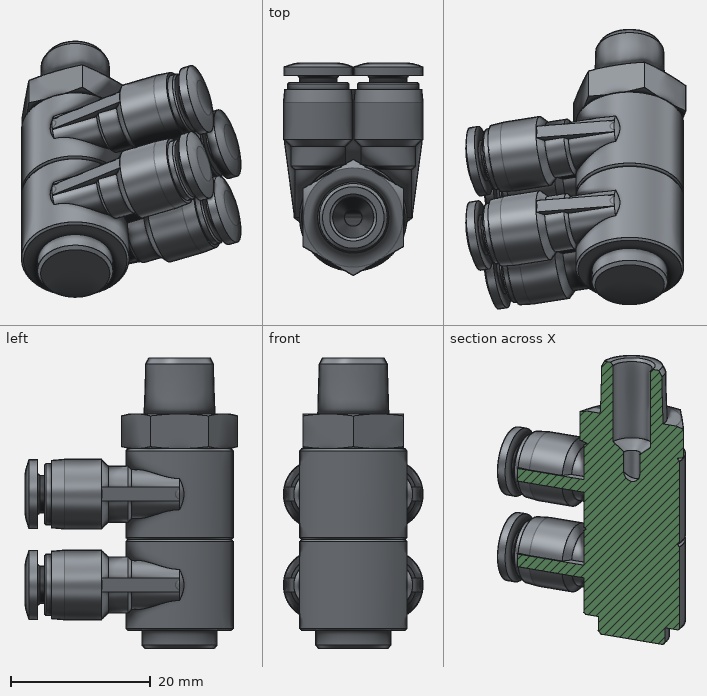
import cadquery as cq
import math

stub_height = 2.6
stub_diameter = 10.78
stub_end_diameter = 9.9
stub_chamfer_height = 0.5

body_diameter = 15.4
segment_height = 13.0
segment_count = 2
segment_chamfer = 0.3

hex_sides = 6
hex_height = 5.0
hex_across_flats = 14.4
hex_face_diameter = 14.2
hex_chamfer_angle = 14.0

stud_height = 8.0
stud_top_diameter = 8.8
stud_diameter = 9.75
stud_chamfer_height = 0.9
stud_taper = 1 / 16

bore_diameter = 5.88
bore_mouth_diameter = 6.72
bore_depth = 12.0
pilot_diameter = 2.5
pilot_depth = 3.0

cone_angle = 105.0

port_offset = 5.0
port_diameter = 10.0
port_length = 22.136
shank_diameter = 7.0
shank_length = 6.85
step_diameter = 8.05
step_start = 7.35
step_end = 10.2
barrel_start = 11.2
barrel_end = 16.45
nose_end = 18.35
nose_diameter = 9.65
nose_bulge_diameter = 9.88
collar_diameter = 8.8
collar_end = 19.36
collar_chamfer = 0.25
neck_diameter = 5.37
neck_end = 19.97
neck_flare_diameter = 5.88
button_start = 20.32
button_diameter = 9.9
button_edge = 21.55
button_face_diameter = 5.2
button_dome_fullness = 0.7

rib_thickness = 2.0
rib_foot_offset = 3.42

segments_base = stub_height
hex_base = segments_base + segment_count * segment_height
stud_base = hex_base + hex_height
total_height = stud_base + stud_height


def cone_tip_height(diameter):
    return diameter / 2 / math.tan(math.radians(cone_angle / 2))


def turned(outline):
    """Revolve a (radius, height) outline about its height axis."""
    return outline.close().revolve(360, (0, 0, 0), (0, 1, 0))


def make_stub():
    outline = (
        cq.Workplane("XZ")
        .lineTo(stub_end_diameter / 2, 0)
        .lineTo(stub_diameter / 2, stub_chamfer_height)
        .lineTo(stub_diameter / 2, stub_height)
        .lineTo(0, stub_height)
    )
    return turned(outline)


def make_segment(base):
    """Body segment with both rims chamfered; neighbours form a V groove."""
    segment = cq.Workplane("XY").workplane(offset=base).circle(body_diameter / 2).extrude(segment_height)
    return segment.edges("%CIRCLE").chamfer(segment_chamfer)


def make_hexagon():
    """Hexagon with corners on the Y axis, corners bevelled at both ends."""
    corner_radius = hex_across_flats / math.sqrt(3)
    corner_angle = 2 * math.pi / hex_sides
    corners = [
        (corner_radius * math.sin(i * corner_angle), corner_radius * math.cos(i * corner_angle))
        for i in range(hex_sides)
    ]
    prism = cq.Workplane("XY").workplane(offset=hex_base).polyline(corners).close().extrude(hex_height)
    face_radius = hex_face_diameter / 2
    bevel_height = (corner_radius - face_radius) * math.tan(math.radians(hex_chamfer_angle))
    outline = (
        cq.Workplane("XZ")
        .moveTo(0, hex_base)
        .lineTo(face_radius, hex_base)
        .lineTo(corner_radius, hex_base + bevel_height)
        .lineTo(corner_radius, stud_base - bevel_height)
        .lineTo(face_radius, stud_base)
        .lineTo(0, stud_base)
    )
    return prism.intersect(turned(outline))


def make_stud():
    taper_height = stud_height - stud_chamfer_height
    base_diameter = stud_diameter + taper_height * stud_taper
    outline = (
        cq.Workplane("XZ")
        .moveTo(0, stud_base)
        .lineTo(base_diameter / 2, stud_base)
        .lineTo(stud_diameter / 2, total_height - stud_chamfer_height)
        .lineTo(stud_top_diameter / 2, total_height)
        .lineTo(0, total_height)
    )
    return turned(outline)


def make_bore():
    """Countersunk bore narrowing to a pilot hole, whose floor is a trough rounded about X."""
    mouth_depth = (bore_mouth_diameter - bore_diameter) / 2
    cone_base = total_height - bore_depth
    cone_height = cone_tip_height(bore_diameter) - cone_tip_height(pilot_diameter)
    pilot_top = cone_base - cone_height
    pilot_base = pilot_top - pilot_depth
    outline = (
        cq.Workplane("XZ")
        .moveTo(0, pilot_base)
        .lineTo(pilot_diameter / 2, pilot_base)
        .lineTo(pilot_diameter / 2, pilot_top)
        .lineTo(bore_diameter / 2, cone_base)
        .lineTo(bore_diameter / 2, total_height - mouth_depth)
        .lineTo(bore_mouth_diameter / 2, total_height)
        .lineTo(0, total_height)
    )
    pilot = cq.Workplane("XY").workplane(offset=pilot_base - pilot_diameter / 2)
    pilot = pilot.circle(pilot_diameter / 2).extrude(pilot_diameter)
    trough = cq.Workplane("YZ").workplane(offset=-pilot_diameter / 2).center(0, pilot_base)
    trough = trough.circle(pilot_diameter / 2).extrude(pilot_diameter)
    return turned(outline).union(pilot.intersect(trough))


def make_port(x, z):
    """Push-in port turned about a line along Y: shank, barrel, collar and release button."""
    nose_middle = (barrel_end + nose_end) / 2
    dome_middle_diameter = (button_diameter + button_face_diameter) / 2
    dome_middle = button_edge + button_dome_fullness * (port_length - button_edge)
    outline = (
        cq.Workplane("XY")
        .moveTo(0, -cone_tip_height(shank_diameter))
        .lineTo(shank_diameter / 2, 0)
        .lineTo(shank_diameter / 2, shank_length)
        .lineTo(step_diameter / 2, step_start)
        .lineTo(step_diameter / 2, step_end)
        .lineTo(port_diameter / 2, barrel_start)
        .lineTo(port_diameter / 2, barrel_end)
        .threePointArc((nose_bulge_diameter / 2, nose_middle), (nose_diameter / 2, nose_end))
        .lineTo(collar_diameter / 2, nose_end)
        .lineTo(collar_diameter / 2, collar_end - collar_chamfer)
        .lineTo(collar_diameter / 2 - collar_chamfer, collar_end)
        .lineTo(neck_diameter / 2, collar_end)
        .lineTo(neck_diameter / 2, neck_end)
        .lineTo(neck_flare_diameter / 2, button_start)
        .lineTo(button_diameter / 2, button_start)
        .lineTo(button_diameter / 2, button_edge)
        .threePointArc((dome_middle_diameter / 2, dome_middle), (button_face_diameter / 2, port_length))
        .lineTo(0, port_length)
    )
    return turned(outline).translate((x, 0, z))


def make_ribs(z):
    """Flat plate through a port pair: tapered ribs outside, a web between the ports."""
    foot = port_offset + rib_foot_offset
    shoulder = port_offset + math.sqrt(port_diameter**2 - rib_thickness**2) / 2
    plate = cq.Workplane("XY").workplane(offset=z - rib_thickness / 2)
    tapered = [(-foot, 0), (foot, 0), (shoulder, barrel_start), (-shoulder, barrel_start)]
    ribs = plate.polyline(tapered).close().extrude(rib_thickness)
    web_length = nose_end - barrel_start
    web_middle = (nose_end + barrel_start) / 2
    web = plate.center(0, web_middle).rect(2 * port_offset, web_length).extrude(rib_thickness)
    return ribs.union(web)


result = make_stub()
for index in range(segment_count):
    segment_base = segments_base + index * segment_height
    port_level = segment_base + segment_height / 2
    result = result.union(make_segment(segment_base))
    result = result.union(make_ribs(port_level))
    for side in (-1, 1):
        result = result.union(make_port(side * port_offset, port_level))
result = result.union(make_hexagon()).union(make_stud()).cut(make_bore())